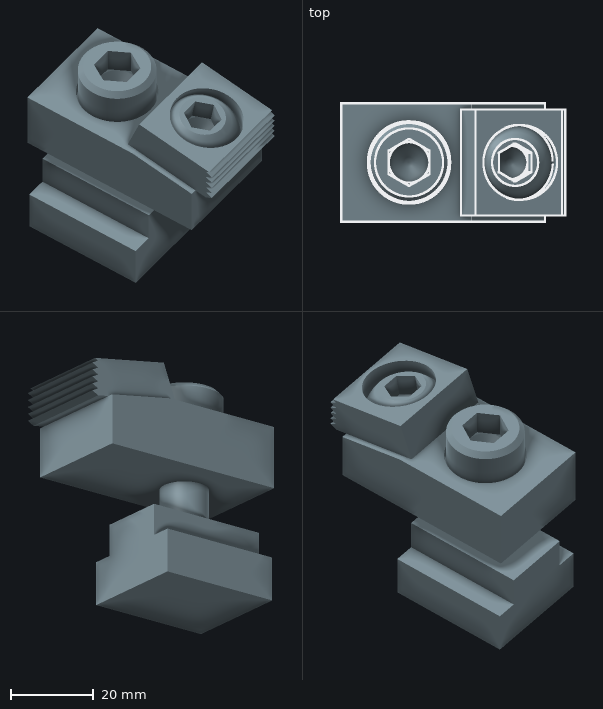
import cadquery as cq
import math

CLAMP_LENGTH = 49.15
CLAMP_WIDTH = 28.6
CLAMP_BOTTOM = 29.1
CLAMP_TOP = 44.9
RAMP_START = 31.35
RAMP_ANGLE = 10.0

SCREW_X = 16.35
NUT_LENGTH = 31.8
FLANGE_WIDTH = 28.25
FLANGE_HEIGHT = 11.1
NECK_WIDTH = 17.6
NUT_HEIGHT = 19.15

SHANK_RADIUS = 6.0
CAP_RADIUS = 9.5
CAP_TOP = 53.8
CAP_HEIGHT = 12.0
CAP_CHAMFER = 1.3
CAP_SHANK_LENGTH = 40.0
CAP_SEAT = CAP_TOP - CAP_HEIGHT
CAP_TIP = CAP_SEAT - CAP_SHANK_LENGTH
CAP_POCKET_RADIUS = 9.95
CAP_SOCKET_WIDTH = 9.8
CAP_SOCKET_DEPTH = 6.4
CAP_CONE_DEPTH = 2.8

JAW_WIDTH = 25.6
JAW_BACK_BOTTOM_X = 28.9
JAW_BACK_TOP_X = 32.35
JAW_TOP = 54.35
TOOTH_TIP_X = 54.05
TOOTH_DEPTH = 1.75
TOOTH_PITCH = 1.8
TOOTH_COUNT = 5
TOOTH_ROOT_X = TOOTH_TIP_X - TOOTH_DEPTH

POCKET_X = 43.15
POCKET_RADIUS = 9.0
SCREW_OFFSET = -1.2
BUTTON_SINK = 0.25
BUTTON_HEIGHT = 6.6
BUTTON_RADIUS = 10.5
BUTTON_FLAT_RADIUS = 5.65
BUTTON_SHANK_LENGTH = 13.05
BUTTON_SOCKET_WIDTH = 8.0
BUTTON_SOCKET_DEPTH = 5.65
BUTTON_CONE_DEPTH = 2.3
POCKET_DEPTH = BUTTON_SINK + BUTTON_HEIGHT

RAMP_SLOPE = math.tan(math.radians(RAMP_ANGLE))


def ramp_z(x):
    """Height of the ramp plane at x."""
    return CLAMP_TOP - (x - RAMP_START) * RAMP_SLOPE


def jaw_top_z(x):
    """Height of the sloping jaw top at x."""
    return JAW_TOP - (x - JAW_BACK_TOP_X) * RAMP_SLOPE


JAW_FRAME = cq.Plane(
    origin=(POCKET_X, 0, jaw_top_z(POCKET_X)),
    xDir=(1, 0, -RAMP_SLOPE),
    normal=(RAMP_SLOPE, 0, 1),
)


def upright_cylinder(x, radius, bottom, top):
    return cq.Workplane(origin=(x, 0, bottom)).circle(radius).extrude(top - bottom)


def extrude_profile(points, width):
    """Extrude an XZ outline symmetrically about the XZ plane."""
    return cq.Workplane("XZ").polyline(points).close().extrude(width / 2, both=True)


def hex_socket(x, top, width, depth, cone_depth):
    """Hexagonal socket with corners towards +Y and -Y and a conical floor."""
    corner_diameter = width / math.cos(math.pi / 6)
    hexagon = (
        cq.Workplane(origin=(0, 0, -depth)).polygon(6, corner_diameter).extrude(depth)
        .rotate((0, 0, 0), (0, 0, 1), 30)
    )
    cone = (
        cq.Workplane("XZ")
        .polyline([(0, -depth), (width / 2, -depth), (0, -depth - cone_depth)])
        .close()
        .revolve(360, (0, 0, 0), (0, 1, 0))
    )
    return hexagon.union(cone).translate((x, 0, top))


def make_t_nut():
    flange = cq.Workplane(origin=(SCREW_X, 0, 0)).box(
        NUT_LENGTH, FLANGE_WIDTH, FLANGE_HEIGHT, centered=(True, True, False)
    )
    neck = cq.Workplane(origin=(SCREW_X, 0, 0)).box(
        NUT_LENGTH, NECK_WIDTH, NUT_HEIGHT, centered=(True, True, False)
    )
    bore = upright_cylinder(SCREW_X, SHANK_RADIUS, CAP_TIP, NUT_HEIGHT)
    return flange.union(neck).cut(bore)


def make_cap_screw():
    head = upright_cylinder(SCREW_X, CAP_RADIUS, CAP_SEAT, CAP_TOP)
    head = head.faces(">Z").edges().chamfer(CAP_CHAMFER)
    shank = upright_cylinder(SCREW_X, SHANK_RADIUS, CAP_TIP, CAP_SEAT)
    socket = hex_socket(SCREW_X, CAP_TOP, CAP_SOCKET_WIDTH, CAP_SOCKET_DEPTH, CAP_CONE_DEPTH)
    return head.union(shank).cut(socket)


def button_shank():
    """Shank of the button screw, in the frame of the jaw top."""
    return upright_cylinder(
        SCREW_OFFSET, SHANK_RADIUS, -POCKET_DEPTH - BUTTON_SHANK_LENGTH, -POCKET_DEPTH
    )


def jaw_pocket():
    """Round pocket for the button head, in the frame of the jaw top."""
    return upright_cylinder(0, POCKET_RADIUS, -POCKET_DEPTH, 0)


def place_on_jaw(shape):
    return cq.Workplane(shape.val().moved(cq.Location(JAW_FRAME)))


def make_button_screw():
    centre_depth = (
        BUTTON_RADIUS**2 + BUTTON_HEIGHT**2 - BUTTON_FLAT_RADIUS**2
    ) / (2 * BUTTON_HEIGHT)
    sphere_radius = math.hypot(BUTTON_FLAT_RADIUS, centre_depth)
    crown = cq.Workplane(origin=(SCREW_OFFSET, 0, -BUTTON_SINK - centre_depth)).sphere(sphere_radius)
    slab = upright_cylinder(SCREW_OFFSET, BUTTON_RADIUS, -POCKET_DEPTH, -BUTTON_SINK)
    head = slab.intersect(crown).intersect(jaw_pocket())
    socket = hex_socket(
        SCREW_OFFSET, -BUTTON_SINK, BUTTON_SOCKET_WIDTH, BUTTON_SOCKET_DEPTH, BUTTON_CONE_DEPTH
    )
    return place_on_jaw(head.union(button_shank()).cut(socket))


def make_clamp():
    block = extrude_profile(
        [
            (0, CLAMP_BOTTOM),
            (CLAMP_LENGTH, CLAMP_BOTTOM),
            (CLAMP_LENGTH, ramp_z(CLAMP_LENGTH)),
            (RAMP_START, CLAMP_TOP),
            (0, CLAMP_TOP),
        ],
        CLAMP_WIDTH,
    )
    bore = upright_cylinder(SCREW_X, SHANK_RADIUS, CLAMP_BOTTOM, CLAMP_TOP)
    counterbore = upright_cylinder(SCREW_X, CAP_POCKET_RADIUS, CAP_SEAT, CLAMP_TOP)
    return block.cut(bore).cut(counterbore).cut(place_on_jaw(button_shank()))


def make_jaw():
    lowest_root = ramp_z(TOOTH_ROOT_X)
    outline = [(JAW_BACK_BOTTOM_X, ramp_z(JAW_BACK_BOTTOM_X)), (TOOTH_ROOT_X, lowest_root)]
    for tooth in range(TOOTH_COUNT):
        root_z = lowest_root + tooth * TOOTH_PITCH
        outline.append((TOOTH_TIP_X, root_z + TOOTH_PITCH / 2))
        outline.append((TOOTH_ROOT_X, root_z + TOOTH_PITCH))

    last_root = lowest_root + TOOTH_COUNT * TOOTH_PITCH
    flank_slope = TOOTH_PITCH / 2 / TOOTH_DEPTH
    nose_x = TOOTH_ROOT_X + (jaw_top_z(TOOTH_ROOT_X) - last_root) / (flank_slope + RAMP_SLOPE)
    outline.append((nose_x, jaw_top_z(nose_x)))
    outline.append((JAW_BACK_TOP_X, JAW_TOP))

    body = extrude_profile(outline, JAW_WIDTH)
    return body.cut(place_on_jaw(jaw_pocket())).cut(place_on_jaw(button_shank()))


t_nut = make_t_nut()
cap_screw = make_cap_screw()
clamp = make_clamp()
jaw = make_jaw()
button_screw = make_button_screw()

result = cq.Compound.makeCompound(
    [t_nut.val(), cap_screw.val(), clamp.val(), jaw.val(), button_screw.val()]
)